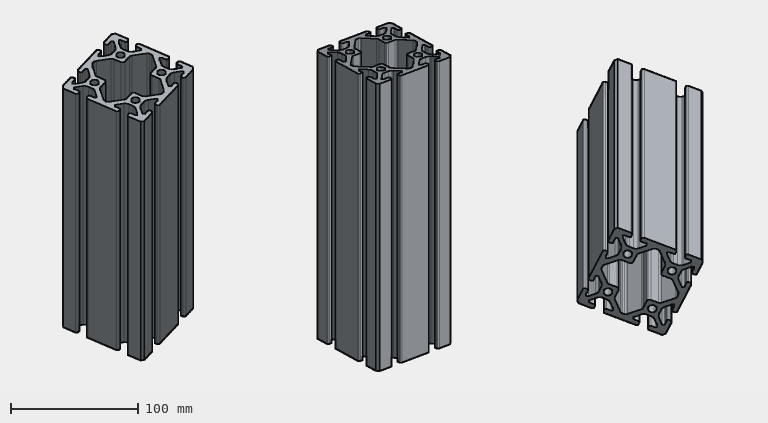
import cadquery as cq
import math

cell_pitch = 38.1
side = 2 * cell_pitch
length = 254.0
corner_chamfer = 2.15

slot_opening = 8.128
lip_thickness = 4.2
lip_outer_radius = 1.6
lip_inner_radius = 1.0
slot_depth = 12.3
pocket_tip_radius = 1.3
floor_radius = 5.6

bore_diameter = 6.8
boss_half_width = 6.9
boss_corner_radius = 2.3
web_slot_offset = 2.7
web_cavity_offset = 3.6

cavity_wall = 5.6
recess_corner_radius = 3.0

half_side = side / 2
half_cell = cell_pitch / 2
half_opening = slot_opening / 2


def make_bar():
    """Solid square bar with chamfered long edges."""
    return cq.Workplane("XY").rect(side, side).extrude(length).edges("|Z").chamfer(corner_chamfer)


def vertical_edges(points):
    """Selector for the vertical edges that pass through the given XY points."""
    tolerance = 0.01
    selector = None
    for x, y in points:
        box = cq.selectors.BoxSelector(
            (x - tolerance, y - tolerance, -tolerance),
            (x + tolerance, y + tolerance, length + tolerance),
            boundingbox=True,
        )
        selector = box if selector is None else selector + box
    return selector


def make_slot(center_x):
    """T-slot cutter opening through the +Y side, centred on center_x."""
    lip_y = half_side - lip_thickness
    floor_y = half_side - slot_depth
    pocket_half_width = lip_y - half_cell - web_slot_offset
    floor_half_width = floor_y - half_cell - web_slot_offset

    left_tip = (center_x - pocket_half_width, lip_y)
    right_tip = (center_x + pocket_half_width, lip_y)
    left_floor = (center_x - floor_half_width, floor_y)
    right_floor = (center_x + floor_half_width, floor_y)
    left_lip = (center_x - half_opening, lip_y)
    right_lip = (center_x + half_opening, lip_y)
    left_mouth = (center_x - half_opening, half_side)
    right_mouth = (center_x + half_opening, half_side)

    outline = [left_mouth, left_lip, left_tip, left_floor, right_floor, right_tip, right_lip, right_mouth]
    slot = cq.Workplane("XY").polyline(outline).close().extrude(length)
    slot = slot.edges(vertical_edges([left_tip, right_tip])).fillet(pocket_tip_radius)
    slot = slot.edges(vertical_edges([left_floor, right_floor])).fillet(floor_radius)
    return slot.edges(vertical_edges([left_lip, right_lip])).fillet(lip_inner_radius)


def make_cavity():
    """Star-shaped cutter between the four bosses."""
    tip = half_side - cavity_wall
    boss_face = half_cell - boss_half_width
    web_sum = cell_pitch - web_cavity_offset
    tip_half_width = web_sum - tip
    web_end = web_sum - boss_face

    outline = []
    for sign_x, sign_y in ((1, 1), (-1, 1), (-1, -1), (1, -1)):
        quadrant = [
            (sign_x * tip, sign_y * tip_half_width),
            (sign_x * web_end, sign_y * boss_face),
            (sign_x * boss_face, sign_y * boss_face),
            (sign_x * boss_face, sign_y * web_end),
            (sign_x * tip_half_width, sign_y * tip),
        ]
        outline += quadrant if sign_x == sign_y else quadrant[::-1]

    boss_corners = [(sx * boss_face, sy * boss_face) for sx in (-1, 1) for sy in (-1, 1)]
    recess_corners = [point for point in outline if point not in boss_corners]
    cavity = cq.Workplane("XY").polyline(outline).close().extrude(length)
    cavity = cavity.edges(vertical_edges(boss_corners)).fillet(boss_corner_radius)
    return cavity.edges(vertical_edges(recess_corners)).fillet(recess_corner_radius)


def cut_slots(body):
    """Cut two T-slots into each of the four sides and round the lips."""
    mouth_edges = []
    for turn in range(4):
        angle = math.radians(90 * turn)
        for center_x in (-half_cell, half_cell):
            slot = make_slot(center_x).rotate((0, 0, 0), (0, 0, 1), 90 * turn)
            body = body.cut(slot)
            for mouth_x in (center_x - half_opening, center_x + half_opening):
                mouth_edges.append((
                    mouth_x * math.cos(angle) - half_side * math.sin(angle),
                    mouth_x * math.sin(angle) + half_side * math.cos(angle),
                ))
    return body.edges(vertical_edges(mouth_edges)).fillet(lip_outer_radius)


def make_bores():
    """Round cutters along the four boss centres."""
    return cq.Workplane("XY").rect(cell_pitch, cell_pitch, forConstruction=True).vertices().circle(
        bore_diameter / 2).extrude(length)


result = cut_slots(make_bar()).cut(make_cavity()).cut(make_bores())